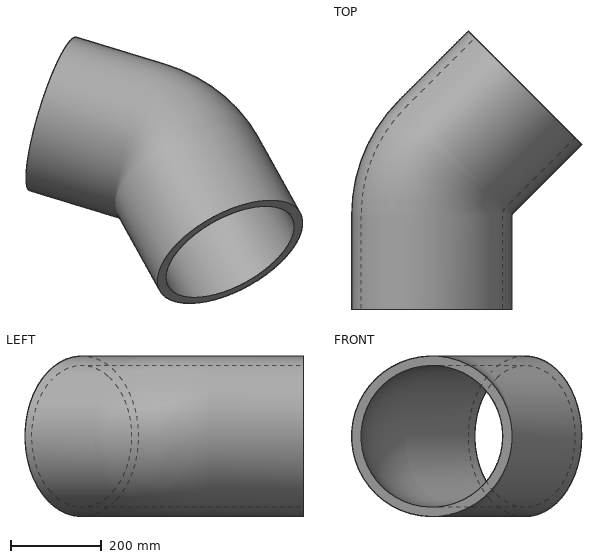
import cadquery as cq
import math

outer_diameter = 355.0
wall_thickness = 21.1
bend_angle = 45.0
inlet_reach = 284.0
outlet_offset_x = 206.0
throat_radius = 2.0

outer_radius = outer_diameter / 2
bore_radius = outer_radius - wall_thickness
bend_radius = outer_radius + throat_radius
tangent_length = bend_radius * math.tan(math.radians(bend_angle / 2))
outlet_reach = outlet_offset_x / math.sin(math.radians(bend_angle))
inlet_length = inlet_reach - tangent_length
outlet_length = outlet_reach - tangent_length


def ring():
    """Pipe cross-section in the XZ plane, centred on the start of the bend."""
    return cq.Workplane("XZ").circle(outer_radius).circle(bore_radius)


def turn_about_bend_axis(body):
    """Move a body from the start of the bend to its end."""
    axis_start = (bend_radius, 0, 0)
    axis_end = (bend_radius, 0, 1)
    return body.rotate(axis_start, axis_end, -bend_angle)


inlet = ring().extrude(inlet_length)
bend = ring().revolve(bend_angle, (bend_radius, 0, 0), (bend_radius, -1, 0))
outlet = turn_about_bend_axis(ring().extrude(-outlet_length))

result = inlet.union(bend).union(outlet)